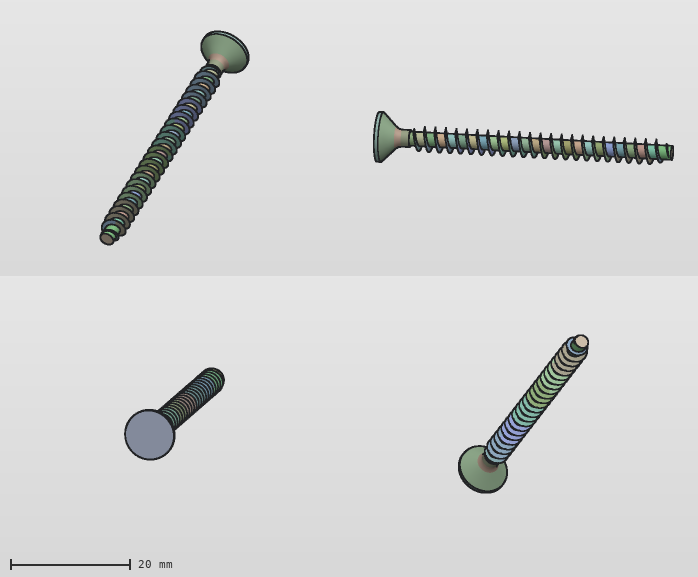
import cadquery as cq
import math

LENGTH = 50.0

HEAD_RADIUS = 4.2
RIM_THICKNESS = 0.7

NECK_RADIUS = 1.45
NECK_END_DEPTH = 5.45
NECK_BLEND_RADIUS = 1.5
SELECTION_MARGIN = 0.1
CONE_END_DEPTH = RIM_THICKNESS + HEAD_RADIUS - NECK_RADIUS

CORE_RADIUS = 1.2

PITCH = 1.79
CREST_RADIUS = 2.1
ROOT_OVERLAP = 0.12
ROOT_RADIUS = CORE_RADIUS - ROOT_OVERLAP
ROOT_WIDTH = 0.45
PHASE_DEPTH = 5.69
THREAD_START_DEPTH = 4.75
THREAD_END_DEPTH = 49.65
FADE_LENGTH = 1.35 * PITCH
POINTS_PER_TURN = 16
FULL_STRETCHES = 6


def make_body():
    """Head, neck and core as one revolved outline, with y as the axis."""
    outline = (
        cq.Workplane("XY")
        .lineTo(HEAD_RADIUS, 0)
        .lineTo(HEAD_RADIUS, -RIM_THICKNESS)
        .lineTo(NECK_RADIUS, -CONE_END_DEPTH)
        .lineTo(NECK_RADIUS, -NECK_END_DEPTH)
        .lineTo(CORE_RADIUS, -NECK_END_DEPTH)
        .lineTo(CORE_RADIUS, -LENGTH)
        .lineTo(0, -LENGTH)
        .close()
    )
    body = outline.revolve(360, (0, 0, 0), (0, 1, 0))
    reach = NECK_RADIUS + SELECTION_MARGIN
    blend_edge = cq.selectors.BoxSelector(
        (-reach, -CONE_END_DEPTH - SELECTION_MARGIN, -reach),
        (reach, -CONE_END_DEPTH + SELECTION_MARGIN, reach),
        boundingbox=True,
    )
    return body.edges(blend_edge).fillet(NECK_BLEND_RADIUS)


def helix_point(depth, radius, offset):
    """Point of the helix at a depth, shifted along the axis by an offset."""
    angle = 2 * math.pi * (PHASE_DEPTH - depth) / PITCH
    return cq.Vector(radius * math.cos(angle), offset - depth, -radius * math.sin(angle))


def helix_edge(start, end, start_radius, end_radius, offset):
    """Spiral edge between two depths, its radius changing evenly along the way."""
    count = math.ceil(POINTS_PER_TURN * (end - start) / PITCH)
    points = []
    for i in range(count + 1):
        part = i / count
        depth = start + part * (end - start)
        radius = start_radius + part * (end_radius - start_radius)
        points.append(helix_point(depth, radius, offset))
    return cq.Edge.makeSpline(points)


def make_thread(start, end, start_crest, end_crest):
    """Stretch of thread with a sharp triangular section between two depths."""
    rails = [
        helix_edge(start, end, ROOT_RADIUS, ROOT_RADIUS, -ROOT_WIDTH / 2),
        helix_edge(start, end, start_crest, end_crest, 0),
        helix_edge(start, end, ROOT_RADIUS, ROOT_RADIUS, ROOT_WIDTH / 2),
    ]
    faces = []
    for i, rail in enumerate(rails):
        faces.append(cq.Face.makeRuledSurface(rails[i - 1], rail))
    for position in (0, 1):
        corners = [rail.positionAt(position) for rail in rails]
        section = cq.Wire.makePolygon(corners, close=True)
        faces.append(cq.Face.makeFromWires(section))
    return cq.Solid.makeSolid(cq.Shell.makeShell(faces))


def make_full_thread(start, end):
    """Consecutive stretches of thread at full height."""
    step = (end - start) / FULL_STRETCHES
    stretches = []
    for i in range(FULL_STRETCHES):
        stretch_start = start + i * step
        stretches.append(make_thread(stretch_start, stretch_start + step, CREST_RADIUS, CREST_RADIUS))
    return stretches


full_start = THREAD_START_DEPTH + FADE_LENGTH
full_end = THREAD_END_DEPTH - FADE_LENGTH
fade_in = make_thread(THREAD_START_DEPTH, full_start, CORE_RADIUS, CREST_RADIUS)
fade_out = make_thread(full_end, THREAD_END_DEPTH, CREST_RADIUS, CORE_RADIUS)

result = make_body()
for stretch in [fade_in, *make_full_thread(full_start, full_end), fade_out]:
    result = result.union(cq.Workplane(stretch))